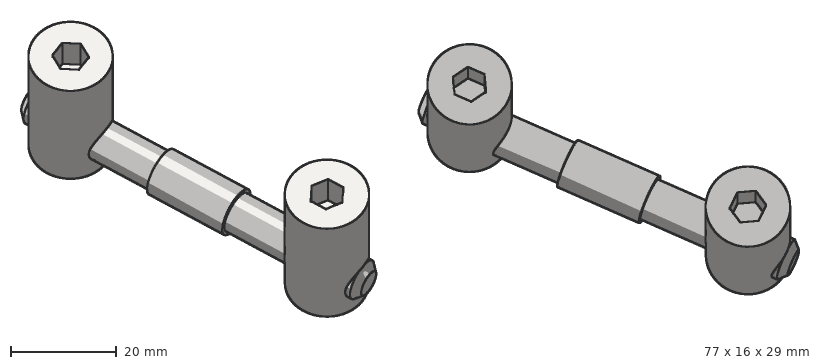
import cadquery as cq

rod_length = 77.0
rod_diameter = 8.3
rod_tip_diameter = 5.2
rod_chamfer = (rod_diameter - rod_tip_diameter) / 2

sleeve_diameter = 9.8
sleeve_length = 17.0

barrel_diameter = 16.0
barrel_height = 29.0
barrel_spacing = 58.05
barrel_bottom = -7.0

socket_corner_diameter = 6.9
socket_depth = 6.9
left_socket_turn = 30.0
right_socket_turn = 0.0


def x_cylinder(diameter, length):
    """Cylinder along the X axis, centred on the origin."""
    return cq.Workplane("YZ", origin=(-length / 2, 0, 0)).circle(diameter / 2).extrude(length)


def socketed_barrel(x, socket_turn):
    """Upright barrel with a hexagon socket in its top face."""
    barrel = cq.Workplane("XY").circle(barrel_diameter / 2).extrude(barrel_height)
    socket = (
        cq.Workplane("XY")
        .polygon(6, socket_corner_diameter)
        .extrude(socket_depth)
        .rotate((0, 0, 0), (0, 0, 1), socket_turn)
        .translate((0, 0, barrel_height - socket_depth))
    )
    return barrel.cut(socket).translate((x, 0, barrel_bottom))


rod = x_cylinder(rod_diameter, rod_length).faces("<X or >X").chamfer(rod_chamfer)
sleeve = x_cylinder(sleeve_diameter, sleeve_length)
left_barrel = socketed_barrel(-barrel_spacing / 2, left_socket_turn)
right_barrel = socketed_barrel(barrel_spacing / 2, right_socket_turn)

result = rod.union(sleeve).union(left_barrel).union(right_barrel)